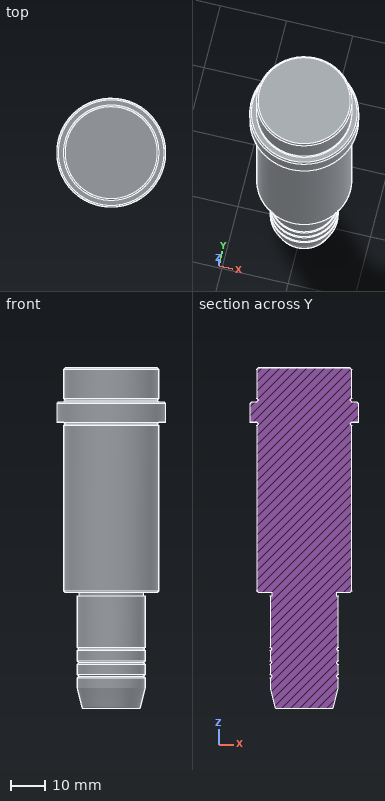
import cadquery as cq

total_height = 100.0
collar_top = 90.0
collar_bottom = 84.0
body_bottom = 34.0
taper_height = 6.0
neck_height = 0.9

body_radius = 14.0
collar_radius = 16.0
pin_radius = 10.0
neck_radius = 9.5
tip_radius = 8.5

edge_chamfer = 0.5
tip_fillet = 0.5
groove_width = 1.0
groove_depth = groove_width / 2
pin_groove_tops = (18.0, 14.0, 10.0)


def cylinder(radius, bottom, top):
    """Solid cylinder about the Z axis between two heights."""
    return cq.Workplane("XY").workplane(offset=bottom).circle(radius).extrude(top - bottom)


def cut_groove(solid, radius, top):
    """Cut a V groove into a cylinder of the given radius, running down from the given height."""
    cutter = (
        cq.Workplane("XZ")
        .moveTo(radius - groove_depth, top - groove_width / 2)
        .lineTo(radius, top)
        .lineTo(radius + groove_depth, top)
        .lineTo(radius + groove_depth, top - groove_width)
        .lineTo(radius, top - groove_width)
        .close()
        .revolve(360, (0, 0, 0), (0, 1, 0))
    )
    return solid.cut(cutter)


pin = (
    cq.Workplane("XZ")
    .moveTo(0, 0)
    .lineTo(tip_radius, 0)
    .lineTo(pin_radius, taper_height)
    .lineTo(pin_radius, body_bottom - neck_height)
    .lineTo(neck_radius, body_bottom - neck_height)
    .lineTo(neck_radius, body_bottom)
    .lineTo(0, body_bottom)
    .close()
    .revolve(360, (0, 0, 0), (0, 1, 0))
    .faces("<Z")
    .edges()
    .fillet(tip_fillet)
)
for groove_top in pin_groove_tops:
    pin = cut_groove(pin, pin_radius, groove_top)

body = cylinder(body_radius, body_bottom, collar_bottom).faces("<Z").chamfer(edge_chamfer)
body = cut_groove(body, body_radius, collar_bottom)

collar = cylinder(collar_radius, collar_bottom, collar_top).faces(">Z").chamfer(edge_chamfer)

head = cylinder(body_radius, collar_top, total_height).faces(">Z").chamfer(edge_chamfer)
head = cut_groove(head, body_radius, collar_top + groove_width)

result = pin.union(body).union(collar).union(head)